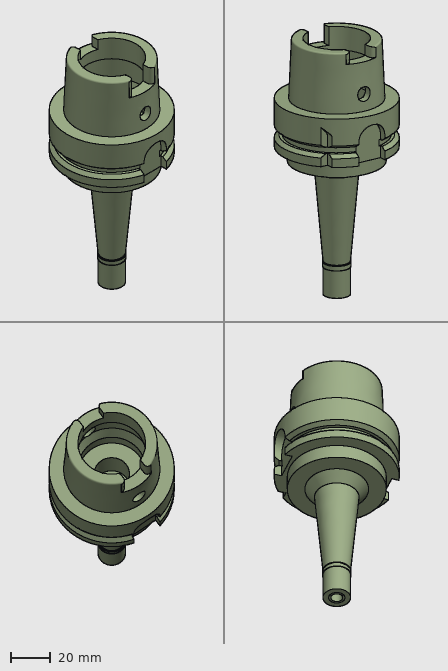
import cadquery as cq
import math

total_height = 137.0
neck_bottom = 17.7
neck_top = 66.0
collar_bottom = 71.4
flange_bottom = 79.2
flange_top = 105.1

shank_base_radius = 24.2
shank_top_radius = 22.9
rim_fillet = 1.0

flange_radius = 31.5
groove_root_radius = 27.5
groove_shoulder_radius = 29.2
groove_bottom = 85.6
groove_top = 88.9
groove_chamfer_height = 1.8

collar_radius = 25.0
flare_top_radius = 16.0
neck_top_radius = 11.2
neck_end_radius = 7.0

mouth_radius = 17.0
mouth_floor = 98.6
undercut_radius = 19.9
undercut_top = 124.4
undercut_cone_top = 110.7
undercut_cone_height = 5.0
coolant_bore_radius = 8.9
coolant_bore_floor = 82.2
through_bore_radius = 4.1

drive_slot_width = 12.6
drive_slot_fillet = 2.0
drive_slot_floors = {-1: 131.1, 1: 127.0}

access_hole_radius = 3.8
access_hole_height = 114.1

keyway_width = 16.0
keyway_top = 100.0
keyway_floor_offset = 26.6

notch_corner_offset = 20.1
notch_slope_start = 96.2
notch_corner_fillet = 2.9

nut_radius = 7.0
nut_rim_radius = 7.3
nut_rim_bottom = 14.8
nut_boss_radius = 6.6
nut_boss_height = 0.4
collet_height = 27.4
collet_bore_radius = 3.0


def cylinder(radius, bottom, top):
    """Upright cylinder on the main axis."""
    return cq.Workplane("XY", origin=(0, 0, bottom)).circle(radius).extrude(top - bottom)


def revolve_profile(points):
    """Turn a closed (radius, height) outline around the main axis."""
    return cq.Workplane("XZ").polyline(points).close().revolve(360, (0, 0), (0, 1))


def make_holder_blank():
    """Turned outside of the holder, from the neck end up to the shank rim."""
    outline = [
        (0, neck_bottom),
        (neck_end_radius, neck_bottom),
        (neck_top_radius, neck_top),
        (flare_top_radius, collar_bottom),
        (collar_radius, collar_bottom),
        (collar_radius, flange_bottom),
        (flange_radius, flange_bottom),
        (flange_radius, groove_bottom - groove_chamfer_height),
        (groove_shoulder_radius, groove_bottom),
        (groove_root_radius, groove_bottom),
        (groove_root_radius, groove_top),
        (groove_shoulder_radius, groove_top),
        (flange_radius, groove_top + groove_chamfer_height),
        (flange_radius, flange_top),
        (shank_base_radius, flange_top),
        (shank_top_radius, total_height),
        (0, total_height),
    ]
    return revolve_profile(outline).faces(">Z").edges().fillet(rim_fillet)


def make_holder_cavity():
    """Stepped bore from the mouth down to the neck end, with an undercut inside the mouth."""
    undercut_bottom = undercut_cone_top - undercut_cone_height
    outline = [
        (0, neck_bottom),
        (through_bore_radius, neck_bottom),
        (through_bore_radius, coolant_bore_floor),
        (coolant_bore_radius, coolant_bore_floor),
        (coolant_bore_radius, mouth_floor),
        (mouth_radius, mouth_floor),
        (mouth_radius, undercut_bottom),
        (undercut_radius, undercut_cone_top),
        (undercut_radius, undercut_top),
        (mouth_radius, undercut_top),
        (mouth_radius, total_height),
        (0, total_height),
    ]
    return revolve_profile(outline)


def make_drive_slot(side, floor):
    """Slot through one side of the rim, its outer corners rounded into the shank."""
    half_width = drive_slot_width / 2
    center_y = half_width + drive_slot_fillet
    center_x = math.sqrt((shank_top_radius - drive_slot_fillet) ** 2 - center_y ** 2)
    reach = shank_top_radius / (shank_top_radius - drive_slot_fillet)
    touch_x = center_x * reach
    touch_y = center_y * reach
    wall_angle = -math.pi / 2
    touch_angle = math.atan2(center_y, center_x)
    middle_angle = (wall_angle + touch_angle) / 2
    middle_x = center_x + drive_slot_fillet * math.cos(middle_angle)
    middle_y = center_y + drive_slot_fillet * math.sin(middle_angle)
    outline = (
        cq.Workplane("XY", origin=(0, 0, floor))
        .moveTo(0, -half_width)
        .lineTo(side * center_x, -half_width)
        .threePointArc((side * middle_x, -middle_y), (side * touch_x, -touch_y))
        .lineTo(side * flange_radius, -touch_y)
        .lineTo(side * flange_radius, touch_y)
        .lineTo(side * touch_x, touch_y)
        .threePointArc((side * middle_x, middle_y), (side * center_x, half_width))
        .lineTo(0, half_width)
        .close()
    )
    return outline.extrude(total_height - floor)


def make_access_hole():
    """Hole along X through both walls of the shank."""
    return (
        cq.Workplane("YZ")
        .center(0, access_hole_height)
        .circle(access_hole_radius)
        .extrude(flange_radius, both=True)
    )


def make_keyway(side):
    """Flat-floored keyway with a round top, open at the flange underside."""
    half_width = keyway_width / 2
    return (
        cq.Workplane("YZ", origin=(side * keyway_floor_offset, 0, 0))
        .moveTo(-half_width, flange_bottom)
        .lineTo(-half_width, keyway_top - half_width)
        .threePointArc((0, keyway_top), (half_width, keyway_top - half_width))
        .lineTo(half_width, flange_bottom)
        .close()
        .extrude(side * (flange_radius - keyway_floor_offset))
    )


def make_corner_notch():
    """Square-cornered notch whose upper end slopes at 45 degrees into the flange."""
    width = flange_radius - notch_corner_offset
    return (
        cq.Workplane("YZ", origin=(-notch_corner_offset, 0, 0))
        .moveTo(notch_corner_offset, flange_bottom)
        .lineTo(notch_corner_offset, notch_slope_start)
        .lineTo(flange_radius, notch_slope_start + width)
        .lineTo(flange_radius, flange_bottom)
        .close()
        .extrude(-width)
        .edges(cq.selectors.NearestToPointSelector(
            (-notch_corner_offset - width / 2, notch_corner_offset, notch_slope_start)))
        .fillet(notch_corner_fillet)
    )


def make_holder():
    """Tool holder with shank, flange and neck."""
    body = make_holder_blank().cut(make_holder_cavity())
    for side, floor in drive_slot_floors.items():
        body = body.cut(make_drive_slot(side, floor))
        body = body.cut(make_keyway(side))
    return body.cut(make_access_hole()).cut(make_corner_notch())


def make_nut():
    """Plain round nut with a slightly larger rim and a low boss that meets the neck end."""
    outline = [
        (through_bore_radius, 0),
        (nut_radius, 0),
        (nut_radius, nut_rim_bottom),
        (nut_rim_radius, nut_rim_bottom),
        (nut_rim_radius, neck_bottom - nut_boss_height),
        (nut_boss_radius, neck_bottom - nut_boss_height),
        (nut_boss_radius, neck_bottom),
        (through_bore_radius, neck_bottom),
    ]
    return revolve_profile(outline)


def make_collet():
    """Sleeve that fills the bore of the nut and reaches up into the neck bore."""
    return cylinder(through_bore_radius, 0, collet_height).cut(
        cylinder(collet_bore_radius, 0, collet_height))


holder = make_holder()
nut = make_nut()
collet = make_collet()

result = cq.Compound.makeCompound([body.solids().val() for body in (holder, nut, collet)])